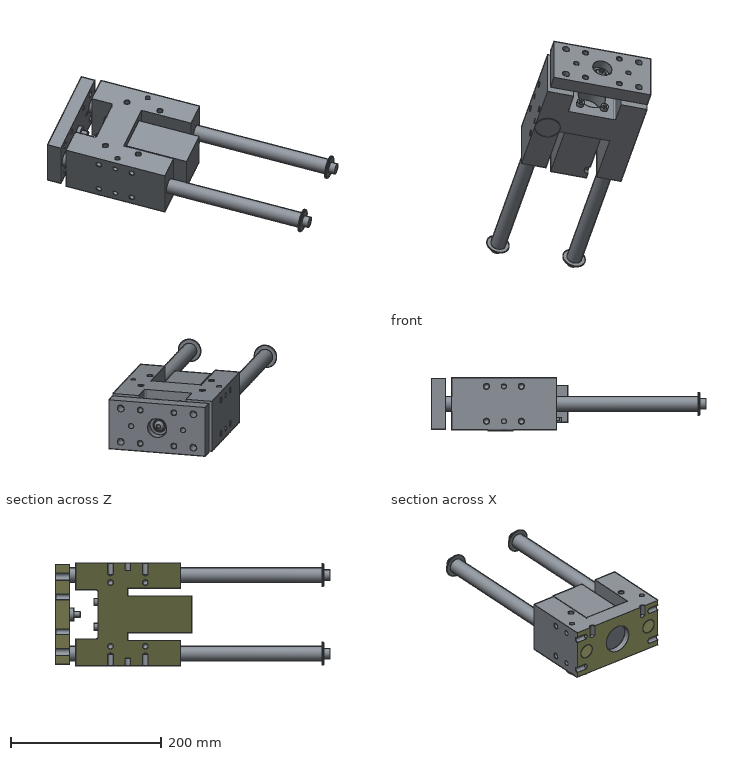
import cadquery as cq
import math


plate_thickness = 19.0
plate_width = 133.2
plate_height = 68.0
hole_square = 46.5
mount_hole_spacing = 100.3
mount_hole_diameter = 9.0
plate_dowel_spacing = 71.7
plate_dowel_diameter = 7.0
recess_diameter = 26.0
recess_depth = 12.8

thread_diameter = 7.0
thread_mouth_diameter = 8.0
thread_depth = 15.0
drill_tip_angle = 118

collar_diameter = 17.5
collar_end = 24.5
washer_thickness = 1.0
screw_head_diameter = 14.0
screw_head_height = 5.0
screw_head_round = 3.5
screw_socket_diameter = 6.0
screw_socket_depth = 3.0
stud_diameter = 8.0
stud_end = 33.3
stud_chamfer = 0.7

rod_diameter = 20.0
rod_spacing = 104.5
stop_diameter = 30.7
stop_start = 355.0
stop_thickness = 2.5
stop_chamfer = 1.0
stub_diameter = 14.3
overall_length = 366.0

housing_start = 27.0
housing_length = 139.8
housing_width = 137.0
housing_height = 69.5
bridge_start = 56.7
bridge_end = 96.5
front_gap_width = 65.0
rear_gap_width = 69.5
gap_corner_radius = 2.5
bridge_bore_diameter = 37.5
bridge_bore_depth = 25.3

hole_middle = 96.5
housing_dowel_diameter = 6.5
housing_dowel_depth = 10.0
top_thread_spacing = 85.0
top_dowel_spacing = 118.5

block_end = 182.0
block_size = 49.5
port_middle = 167.0
port_radius = 6.5
port_height = 6.5
port_pocket_reach = 4.0
port_pocket_height = 4.5
port_pocket_depth = 8.0

block_screw_width = 33.0
block_screw_height = 36.0
block_screw_head_diameter = 10.0
block_screw_head_height = 5.5
block_screw_socket_diameter = 4.8
block_screw_socket_depth = 3.0

pad_diameter = 33.5
pad_thickness = 1.5
pad_x = 92.2
pad_y = 51.5

housing_end = housing_start + housing_length


def x_cylinder(diameter, start, end, y=0, z=0):
    """Cylinder along X between two X positions."""
    return cq.Workplane("YZ", origin=(start, y, z)).circle(diameter / 2).extrude(end - start)


def x_box(start, end, width, height):
    """Box centred on the X axis between two X positions."""
    return cq.Workplane("YZ", origin=(start, 0, 0)).rect(width, height).extrude(end - start)


def corners(width, height):
    """Four points of a centred rectangle."""
    return [(u * width / 2, v * height / 2) for u in (-1, 1) for v in (-1, 1)]


def threaded_hole(face_point, direction):
    """Cutter for a blind hole with a chamfered mouth and a conical drill tip."""
    radius = thread_diameter / 2
    mouth_radius = thread_mouth_diameter / 2
    tip_length = radius / math.tan(math.radians(drill_tip_angle / 2))
    profile = (
        cq.Workplane("XY")
        .moveTo(0, 0)
        .lineTo(mouth_radius, 0)
        .lineTo(radius, mouth_radius - radius)
        .lineTo(radius, thread_depth)
        .lineTo(0, thread_depth + tip_length)
        .close()
    )
    cutter = profile.revolve(360, (0, 0, 0), (0, 1, 0)).val()
    frame = cq.Plane(origin=face_point, xDir=(1, 0, 0), normal=(0, -direction[2], direction[1]))
    return cutter.moved(cq.Location(frame))


def plain_hole(face_point, direction, diameter, depth):
    """Cutter for a flat-bottomed blind hole."""
    return cq.Solid.makeCylinder(diameter / 2, depth, cq.Vector(*face_point), cq.Vector(*direction))


def plate_threaded_hole(y, z):
    """Cutter for a threaded hole through the plate, chamfered at the front face."""
    chamfer = (thread_mouth_diameter - thread_diameter) / 2
    hole = x_cylinder(thread_diameter, 0, plate_thickness, y, z)
    mouth = cq.Solid.makeCone(
        thread_mouth_diameter / 2, thread_diameter / 2, chamfer, cq.Vector(0, y, z), cq.Vector(1, 0, 0)
    )
    return hole.union(cq.Workplane(mouth))


def front_plate():
    plate = x_box(0, plate_thickness, plate_width, plate_height)
    for y, z in corners(mount_hole_spacing, hole_square):
        plate = plate.cut(x_cylinder(mount_hole_diameter, 0, plate_thickness, y, z))
    for y, z in corners(hole_square, hole_square):
        plate = plate.cut(plate_threaded_hole(y, z))
    for side in (-1, 1):
        y = side * plate_dowel_spacing / 2
        plate = plate.cut(x_cylinder(plate_dowel_diameter, 0, plate_thickness, y))
    return plate.cut(x_cylinder(recess_diameter, 0, recess_depth))


def coupling_screw():
    head_base = recess_depth - washer_thickness
    head_top = head_base - screw_head_height
    head = x_cylinder(screw_head_diameter, head_top, head_base).faces("<X").edges().fillet(screw_head_round)
    head = head.cut(x_cylinder(screw_socket_diameter, head_top, head_top + screw_socket_depth))
    collar = x_cylinder(collar_diameter, head_base, collar_end)
    stud = x_cylinder(stud_diameter, collar_end, stud_end).faces(">X").chamfer(stud_chamfer)
    return head.union(collar).union(stud)


def guide_rod(y):
    stop_end = stop_start + stop_thickness
    rod = x_cylinder(rod_diameter, plate_thickness, stop_start, y)
    stop = x_cylinder(stop_diameter, stop_start, stop_end, y).faces(">X").chamfer(stop_chamfer)
    stub = x_cylinder(stub_diameter, stop_end, overall_length, y)
    return rod.union(stop).union(stub)


def make_slide():
    slide = front_plate().union(coupling_screw())
    for side in (-1, 1):
        slide = slide.union(guide_rod(side * rod_spacing / 2))
    return slide


def housing_frame():
    """H-shaped frame with the bores for the guide rods and the cylinder nose."""
    frame = x_box(housing_start, housing_end, housing_width, housing_height)
    front_gap = x_box(housing_start, bridge_start, front_gap_width, housing_height)
    frame = frame.cut(front_gap.edges("|Z and >X").fillet(gap_corner_radius))
    frame = frame.cut(x_box(bridge_end, housing_end, rear_gap_width, housing_height))
    for side in (-1, 1):
        frame = frame.cut(x_cylinder(rod_diameter, housing_start, housing_end, side * rod_spacing / 2))
    return frame.cut(x_cylinder(bridge_bore_diameter, bridge_start, bridge_start + bridge_bore_depth))


def housing_holes():
    """Cutters for the holes in the top and in both long sides."""
    thread_places = [hole_middle + side * hole_square / 2 for side in (-1, 1)]
    cutters = []
    for side in (-1, 1):
        wall_y = side * housing_width / 2
        inward = (0, -side, 0)
        for z in (-hole_square / 2, hole_square / 2):
            cutters.append(
                plain_hole((hole_middle, wall_y, z), inward, housing_dowel_diameter, housing_dowel_depth)
            )
            for x in thread_places:
                cutters.append(threaded_hole((x, wall_y, z), inward))
        top = housing_height / 2
        down = (0, 0, -1)
        dowel_point = (hole_middle, side * top_dowel_spacing / 2, top)
        cutters.append(plain_hole(dowel_point, down, housing_dowel_diameter, housing_dowel_depth))
        for x in thread_places:
            cutters.append(threaded_hole((x, side * top_thread_spacing / 2, top), down))
    return cutters


def cylinder_block():
    """Square block with a stepped port notch at the lower edge of its -Y face."""
    side_y = -block_size / 2
    bottom = -block_size / 2
    block = x_box(bridge_end, block_end, block_size, block_size)
    notch = (
        cq.Workplane("XY", origin=(port_middle, side_y, bottom)).circle(port_radius).extrude(port_height)
    )
    pocket_bottom = bottom + port_height - port_pocket_height
    pocket = (
        cq.Workplane("XY", origin=(port_middle, side_y, pocket_bottom))
        .rect(2 * port_pocket_reach, 2 * port_pocket_depth)
        .extrude(port_pocket_height)
    )
    return block.cut(notch).cut(pocket)


def block_screw(y, z):
    head_top = bridge_start - block_screw_head_height
    socket_end = head_top + block_screw_socket_depth
    head = x_cylinder(block_screw_head_diameter, head_top, bridge_start, y, z)
    return head.cut(x_cylinder(block_screw_socket_diameter, head_top, socket_end, y, z))


def bottom_pad():
    underside = cq.Workplane("XY", origin=(pad_x, pad_y, -housing_height / 2))
    return underside.circle(pad_diameter / 2).extrude(-pad_thickness)


def make_housing():
    housing = housing_frame().union(cylinder_block())
    for cutter in housing_holes():
        housing = housing.cut(cq.Workplane(cutter))
    for y, z in corners(block_screw_width, block_screw_height):
        housing = housing.union(block_screw(y, z))
    return housing.union(bottom_pad())


slide = make_slide()
housing = make_housing()
result = cq.Compound.makeCompound([slide.solids().val(), housing.solids().val()])